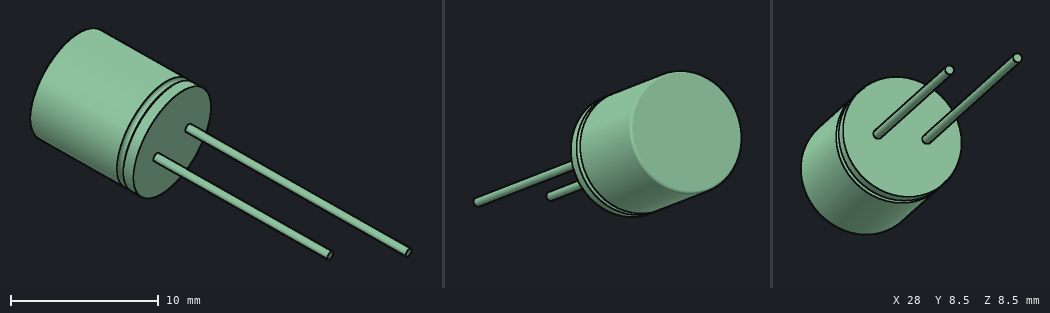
import cadquery as cq

can_diameter = 8.5
can_length = 9.0
can_end_fillet = 0.2
can_radius = can_diameter / 2

groove_center_x = 7.85
groove_radius = 0.275

lead_diameter = 0.65
lead_spacing = 3.5
long_lead_length = 19.0
short_lead_length = 15.0


def make_groove_cutter():
    """Ring of round section centred on the can's outer surface."""
    groove_section = (
        cq.Workplane("XY")
        .center(groove_center_x, can_radius)
        .circle(groove_radius)
    )
    return groove_section.revolve(360, (0, -can_radius, 0), (1, -can_radius, 0))


def make_can():
    """Solid can with a rounded closed end and a crimp groove."""
    can = cq.Workplane("YZ").circle(can_radius).extrude(can_length)
    can = can.faces("<X").edges().fillet(can_end_fillet)
    return can.cut(make_groove_cutter())


def make_lead(y_position, length):
    """Straight round wire standing on the flat base of the can."""
    return (
        cq.Workplane("YZ", origin=(can_length, y_position, 0))
        .circle(lead_diameter / 2)
        .extrude(length)
    )


can = make_can()

lead_layout = [
    (lead_spacing / 2, long_lead_length),
    (-lead_spacing / 2, short_lead_length),
]
leads = [make_lead(y_position, length) for y_position, length in lead_layout]

result = cq.Compound.makeCompound([can.val(), *[lead.val() for lead in leads]])